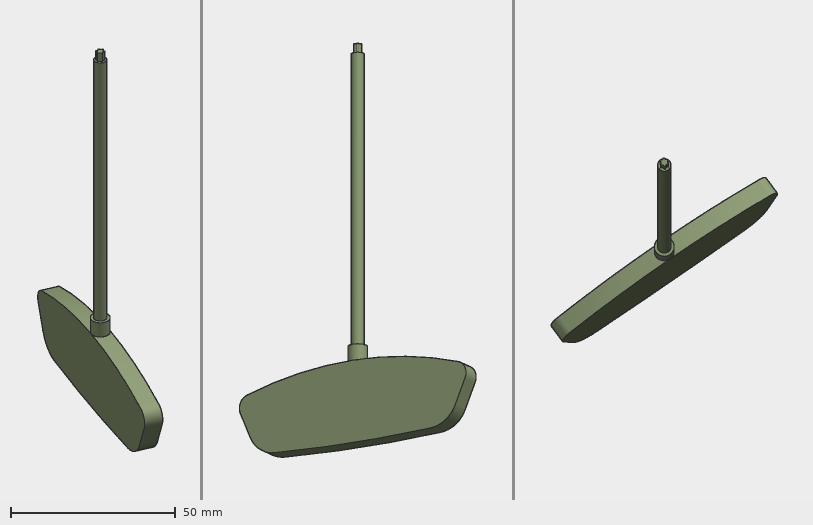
import cadquery as cq
import math

head_thickness = 6.0
head_height = 26.0
top_radius = 125.0
bottom_radius = 500.2
upper_corner_x = 41.5
lower_corner_x = 33.8
upper_round = 4.0
lower_round = 10.0

total_height = 126.0
collar_diameter = 6.0
collar_height = 5.0
rod_diameter = 4.0
tip_height = 3.0
lobe_count = 6
lobe_crest_radius = 1.4
lobe_valley_radius = 1.0
lobe_round = 0.3

collar_top = head_height + collar_height
rod_top = total_height - tip_height


def bow_depth(radius, half_chord):
    """Rise of a circular arc above its chord."""
    return radius - math.sqrt(radius**2 - half_chord**2)


def make_head():
    upper_z = head_height - bow_depth(top_radius, upper_corner_x)
    lower_z = bow_depth(bottom_radius, lower_corner_x)
    plate = (
        cq.Workplane("XZ")
        .moveTo(-lower_corner_x, lower_z)
        .threePointArc((0, 0), (lower_corner_x, lower_z))
        .lineTo(upper_corner_x, upper_z)
        .threePointArc((0, head_height), (-upper_corner_x, upper_z))
        .close()
        .extrude(head_thickness / 2, both=True)
    )
    middle_z = (upper_z + lower_z) / 2
    upper_corners = cq.selectors.BoxSelector(
        (-upper_corner_x - 1.3, -head_thickness, middle_z),
        (upper_corner_x + 1.3, head_thickness, head_height),
    )
    lower_corners = cq.selectors.BoxSelector(
        (-upper_corner_x, -head_thickness, 0),
        (upper_corner_x, head_thickness, lower_z + 0.1),
    )
    plate = plate.edges("|Y").edges(upper_corners).fillet(upper_round)
    return plate.edges("|Y").edges(lower_corners).fillet(lower_round)


def make_cylinder(diameter, bottom_z, top_z):
    base = cq.Workplane("XY", origin=(0, 0, bottom_z))
    return base.circle(diameter / 2).extrude(top_z - bottom_z)


def polar_point(radius, angle):
    return (radius * math.cos(angle), radius * math.sin(angle))


def make_tip():
    half_pitch = math.pi / lobe_count
    lobe_center = lobe_crest_radius - lobe_round

    valley_round = (
        lobe_center**2
        + lobe_valley_radius**2
        - 2 * lobe_center * lobe_valley_radius * math.cos(half_pitch)
        - lobe_round**2
    ) / (2 * (lobe_round - lobe_valley_radius + lobe_center * math.cos(half_pitch)))
    valley_center = lobe_valley_radius + valley_round

    share = lobe_round / (lobe_round + valley_round)
    valley_x, valley_y = polar_point(valley_center, half_pitch)
    joint_x = lobe_center + share * (valley_x - lobe_center)
    joint_y = share * valley_y
    joint_radius = math.hypot(joint_x, joint_y)
    joint_angle = math.atan2(joint_y, joint_x)

    outline = cq.Workplane("XY", origin=(0, 0, rod_top))
    outline = outline.moveTo(*polar_point(joint_radius, -joint_angle))
    for lobe in range(lobe_count):
        angle = 2 * half_pitch * lobe
        outline = outline.threePointArc(
            polar_point(lobe_crest_radius, angle),
            polar_point(joint_radius, angle + joint_angle),
        ).threePointArc(
            polar_point(lobe_valley_radius, angle + half_pitch),
            polar_point(joint_radius, angle + 2 * half_pitch - joint_angle),
        )
    return outline.close().extrude(tip_height)


def make_stem():
    collar_base = head_height / 2
    collar = make_cylinder(collar_diameter, collar_base, collar_top)
    rod = make_cylinder(rod_diameter, collar_top, rod_top)
    return collar.union(rod).union(make_tip())


result = make_head().union(make_stem())